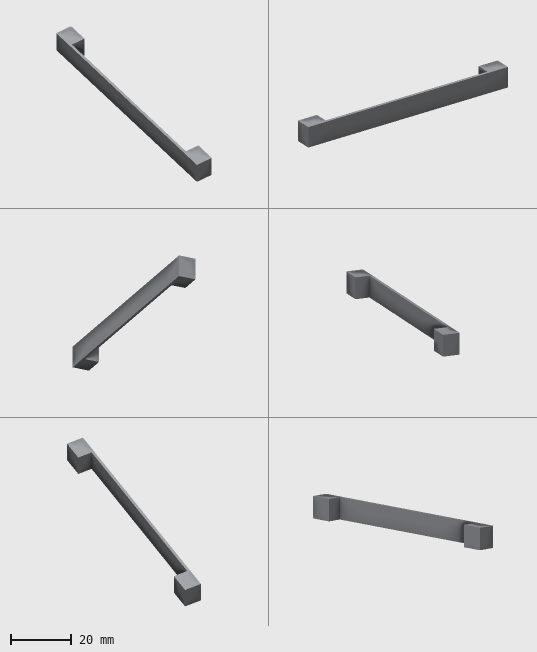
import cadquery as cq

length = 80.0
depth = 6.0
height = 7.5

bar_thickness = 1.0
block_length = 7.6

gap_length = length - 2 * block_length
gap_depth = depth - bar_thickness

body = cq.Workplane("XY").box(length, depth, height)

gap = (
    cq.Workplane("XY")
    .box(gap_length, gap_depth, height)
    .translate((0, bar_thickness / 2, 0))
)

result = body.cut(gap)